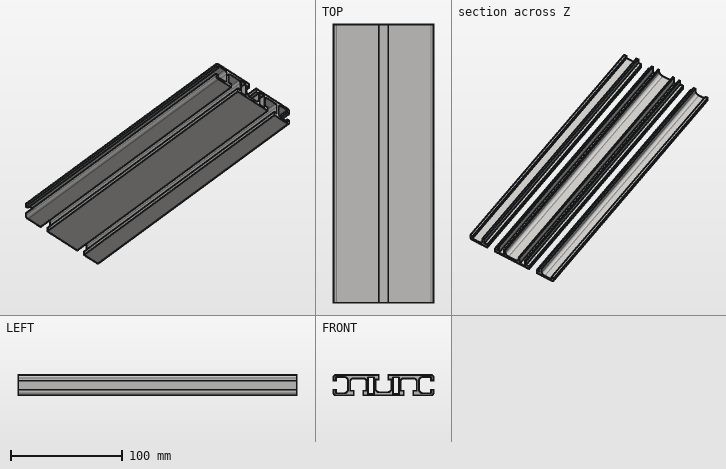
import cadquery as cq

width = 90.0
length = 250.0
height = 18.5
corner_radius = 2.5

slot_opening = 8.2
slot_cavity = 14.2
slot_lip = 4.2
lower_slot_x = width / 4
lower_slot_depth = 15.0
lower_slot_radius = 2.0
upper_slot_floor = 3.0
upper_slot_radius = 3.2

side_lip = 2.5
side_slot_depth = 13.0
side_slot_radius = 3.0

chamber_x = width / 8
chamber_width = 5.2
chamber_bottom = 1.5
chamber_top = 16.2


def bar(x_min, x_max, z_min, z_max):
    """Full-length rectangular bar filling the given X and Z ranges."""
    return cq.Workplane("XY").box(
        x_max - x_min, length, z_max - z_min, centered=(False, True, False)
    ).translate((x_min, 0, z_min))


def centred_bar(x, bar_width, z_min, z_max):
    """Full-length bar centred on x."""
    return bar(x - bar_width / 2, x + bar_width / 2, z_min, z_max)


def lower_slot(x):
    """T-slot open at the bottom, with a rounded roof."""
    cavity = centred_bar(x, slot_cavity, slot_lip, lower_slot_depth)
    cavity = cavity.edges("|Y and >Z").fillet(lower_slot_radius)
    return cavity.union(centred_bar(x, slot_opening, 0, slot_lip))


def upper_slot():
    """Central T-slot open at the top, with a rounded floor."""
    lip_bottom = height - slot_lip
    cavity = centred_bar(0, slot_cavity, upper_slot_floor, lip_bottom)
    cavity = cavity.edges("|Y and <Z").fillet(upper_slot_radius)
    return cavity.union(centred_bar(0, slot_opening, lip_bottom, height))


def left_slot():
    """T-slot open at the -X side, with a rounded back."""
    outside = -width / 2
    middle = height / 2
    cavity = bar(
        outside + side_lip,
        outside + side_slot_depth,
        middle - slot_cavity / 2,
        middle + slot_cavity / 2,
    )
    cavity = cavity.edges("|Y and >X").fillet(side_slot_radius)
    opening = bar(
        outside,
        outside + side_lip,
        middle - slot_opening / 2,
        middle + slot_opening / 2,
    )
    return cavity.union(opening)


result = centred_bar(0, width, 0, height).edges("|Y").fillet(corner_radius)

result = result.cut(upper_slot())

for side in (-1, 1):
    result = result.cut(lower_slot(side * lower_slot_x))
    result = result.cut(centred_bar(side * chamber_x, chamber_width, chamber_bottom, chamber_top))

result = result.cut(left_slot())
result = result.cut(left_slot().mirror("YZ"))